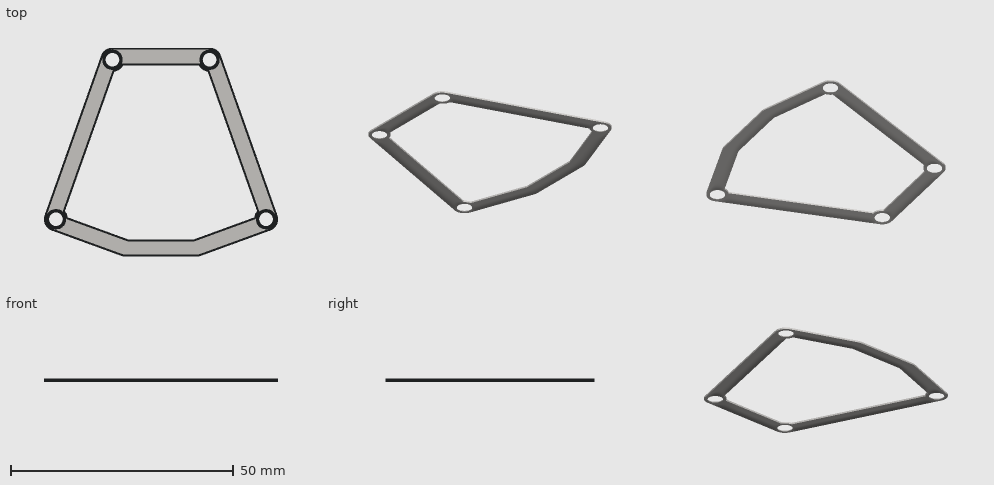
import cadquery as cq

overall_width = 52.3
overall_depth = 46.6
thickness = 0.4

boss_radius = 2.5
bar_width = 3.6
front_bar_width = 3.45
inner_offset = bar_width - boss_radius
rear_hole_x = 10.95
hole_row_spacing = 35.9
front_corner_x = 8.0

ring_diameter = 4.2
bore_diameter = 3.45

front_hole_x = overall_width / 2 - boss_radius
rear_y = overall_depth / 2 - boss_radius
front_hole_y = rear_y - hole_row_spacing
front_y = -overall_depth / 2 + boss_radius

hole_centers = [
    (-rear_hole_x, rear_y),
    (rear_hole_x, rear_y),
    (front_hole_x, front_hole_y),
    (-front_hole_x, front_hole_y),
]
front_slope = (front_hole_y - front_y) / (front_hole_x - front_corner_x)
front_shift = bar_width - front_bar_width
opening_corner_x = front_corner_x - front_shift / front_slope
opening_front_y = front_y - front_shift


def make_path(corner_x, corner_y):
    """Closed path through the hole centres and two mirrored front corners."""
    front_corners = [(corner_x, corner_y), (-corner_x, corner_y)]
    return hole_centers[:3] + front_corners + hole_centers[3:]


outer_path = make_path(front_corner_x, front_y)
opening_path = make_path(opening_corner_x, opening_front_y)


def make_plate(path_points, offset, corner_style):
    """Plate bounded by a path moved outward by offset (inward if negative)."""
    path = cq.Workplane("XY").polyline(path_points).close()
    return path.offset2D(offset, corner_style).extrude(thickness)


def make_discs(diameter):
    """One disc of the frame's thickness at each hole centre."""
    return cq.Workplane("XY").pushPoints(hole_centers).circle(diameter / 2).extrude(thickness)


def make_frame():
    """Closed bar with a round boss and a ring seat at each hole centre."""
    opening = make_plate(opening_path, -inner_offset, "intersection")
    bar = make_plate(outer_path, boss_radius, "arc").cut(opening)
    return bar.union(make_discs(2 * boss_radius)).cut(make_discs(ring_diameter))


def make_ring(center):
    """Ring whose bore widens upward to meet the outer wall at the top face."""
    section = [(bore_diameter / 2, 0), (ring_diameter / 2, 0), (ring_diameter / 2, thickness)]
    ring = cq.Workplane("XZ").polyline(section).close().revolve(360, (0, 0), (0, 1))
    return ring.translate((*center, 0))


frame = make_frame()
rings = [make_ring(center) for center in hole_centers]

result = cq.Compound.makeCompound([frame.val(), *[ring.val() for ring in rings]])